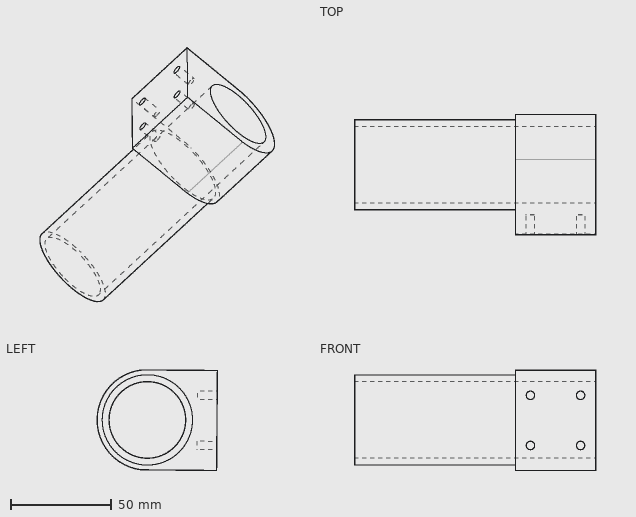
import cadquery as cq
import math

total_length = 120.0
tube_diameter = 45.0
bore_diameter = 38.0

block_length = 40.1
block_width = 60.0
back_radius = 25.1
arc_end_y = 2.9
face_height = 49.9
block_tilt = 0.45

hole_diameter = 4.2
hole_spacing = 25.0
hole_depth = 10.0

block_start = total_length - block_length
block_middle = block_start + block_length / 2

tilt_reach = face_height / 2 * math.sin(math.radians(block_tilt))
face_y = back_radius - block_width + tilt_reach


def make_tube():
    """Plain round bar over the full length, bored later."""
    return cq.Workplane("YZ").circle(tube_diameter / 2).extrude(total_length)


def make_block():
    """Block with a round back and a flat mounting face, before the tilt."""
    arc_end_z = math.sqrt(back_radius**2 - arc_end_y**2)
    return (
        cq.Workplane("YZ", origin=(block_start, 0, 0))
        .moveTo(face_y, face_height / 2)
        .lineTo(arc_end_y, arc_end_z)
        .threePointArc((back_radius, 0), (arc_end_y, -arc_end_z))
        .lineTo(face_y, -face_height / 2)
        .close()
        .extrude(block_length)
    )


def make_screw_holes():
    """Square pattern of blind holes running inwards from the mounting face."""
    return (
        cq.Workplane("XZ", origin=(block_middle, face_y, 0))
        .rarray(hole_spacing, hole_spacing, 2, 2)
        .circle(hole_diameter / 2)
        .extrude(-hole_depth)
    )


def make_bore():
    """Bore through the full length of the tube and block."""
    return cq.Workplane("YZ").circle(bore_diameter / 2).extrude(total_length)


drilled_block = make_block().cut(make_screw_holes())
tilted_block = drilled_block.rotate((0, 0, 0), (1, 0, 0), block_tilt)

result = make_tube().union(tilted_block).cut(make_bore())